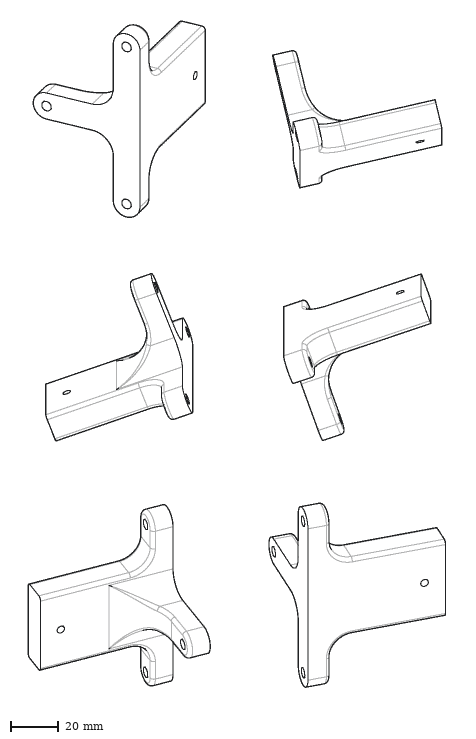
import cadquery as cq

bar_width = 12.7
foot_height = 88.9
side_reach = 38.1
foot_thickness = 10.0
total_depth = 62.0
tongue_height = 38.1
corner_radius = 10.0
gusset_radius = 20.0
edge_radius = 1.7
mount_hole_diameter = 4.5
pin_hole_diameter = 3.4
pin_hole_to_end = 9.5

half_width = bar_width / 2
half_height = foot_height / 2
half_tongue = tongue_height / 2
end_hole_z = half_height - half_width
side_tip_x = -side_reach - half_width
mount_hole_places = [(0, end_hole_z), (0, -end_hole_z), (-side_reach, 0)]
clearance = 1.0


def foot_outline():
    """T shape in XZ with round arm ends, carried through the full depth."""

    def arm(center_x, center_z, length_x, length_z):
        return (
            cq.Workplane("XZ", origin=(center_x, 0, center_z))
            .rect(length_x, length_z)
            .extrude(-total_depth)
        )

    def round_end(x, z):
        return cq.Workplane("XZ", origin=(x, 0, z)).circle(half_width).extrude(-total_depth)

    body = arm(0, 0, bar_width, 2 * end_hole_z)
    body = body.union(arm(-side_reach / 2, 0, side_reach, bar_width))
    for x, z in mount_hole_places:
        body = body.union(round_end(x, z))
    inner_corners = cq.selectors.BoxSelector(
        (-half_width - clearance, -clearance, -half_width - clearance),
        (-half_width + clearance, total_depth + clearance, half_width + clearance),
    )
    return body.edges("|Y").edges(inner_corners).fillet(corner_radius)


def plan_outline():
    """L shape in XY: side arm swept by the gusset radius into the tongue, full height."""
    return (
        cq.Workplane("XY", origin=(0, 0, -half_height))
        .moveTo(side_tip_x, 0)
        .lineTo(half_width, 0)
        .lineTo(half_width, total_depth)
        .lineTo(-half_width, total_depth)
        .lineTo(-half_width, foot_thickness + gusset_radius)
        .radiusArc((-half_width - gusset_radius, foot_thickness), gusset_radius)
        .lineTo(side_tip_x, foot_thickness)
        .close()
        .extrude(foot_height)
    )


def side_outline():
    """T shape in YZ: tall foot with a tongue on rounded inside corners, full width."""
    root_y = foot_thickness + corner_radius
    root_z = half_tongue + corner_radius
    return (
        cq.Workplane("YZ", origin=(side_tip_x, 0, 0))
        .moveTo(0, -half_height)
        .lineTo(foot_thickness, -half_height)
        .lineTo(foot_thickness, -root_z)
        .radiusArc((root_y, -half_tongue), corner_radius)
        .lineTo(total_depth, -half_tongue)
        .lineTo(total_depth, half_tongue)
        .lineTo(root_y, half_tongue)
        .radiusArc((foot_thickness, root_z), corner_radius)
        .lineTo(foot_thickness, half_height)
        .lineTo(0, half_height)
        .close()
        .extrude(half_width - side_tip_x)
    )


def round_outer_rim(body):
    """Round the edges that run along the back of the foot arms, the gusset and the tongue."""
    behind_foot = cq.selectors.BoxSelector(
        (side_tip_x - clearance, foot_thickness - clearance, -half_height - clearance),
        (half_width + clearance, total_depth + clearance, half_height + clearance),
        boundingbox=True,
    )
    behind_root = cq.selectors.BoxSelector(
        (-half_width - clearance, foot_thickness + clearance, -half_height),
        (half_width + clearance, total_depth + clearance, half_height),
        boundingbox=True,
    )
    across_tongue = cq.selectors.AndSelector(cq.selectors.StringSyntaxSelector("|Z"), behind_root)
    rim = behind_foot - cq.selectors.StringSyntaxSelector("|X") - across_tongue
    return body.edges(rim).fillet(edge_radius)


def drill_mount_holes(body):
    """Holes along Y through the ends of the three foot arms."""
    for x, z in mount_hole_places:
        hole = (
            cq.Workplane("XZ", origin=(x, 0, z))
            .circle(mount_hole_diameter / 2)
            .extrude(-foot_thickness - clearance)
        )
        body = body.cut(hole)
    return body


def drill_pin_hole(body):
    """Cross hole along X through the tongue near its free end."""
    hole = (
        cq.Workplane("YZ", origin=(0, total_depth - pin_hole_to_end, 0))
        .circle(pin_hole_diameter / 2)
        .extrude(half_width + clearance, both=True)
    )
    return body.cut(hole)


body = foot_outline().intersect(plan_outline()).intersect(side_outline())
body = round_outer_rim(body)
body = drill_mount_holes(body)
result = drill_pin_hole(body)